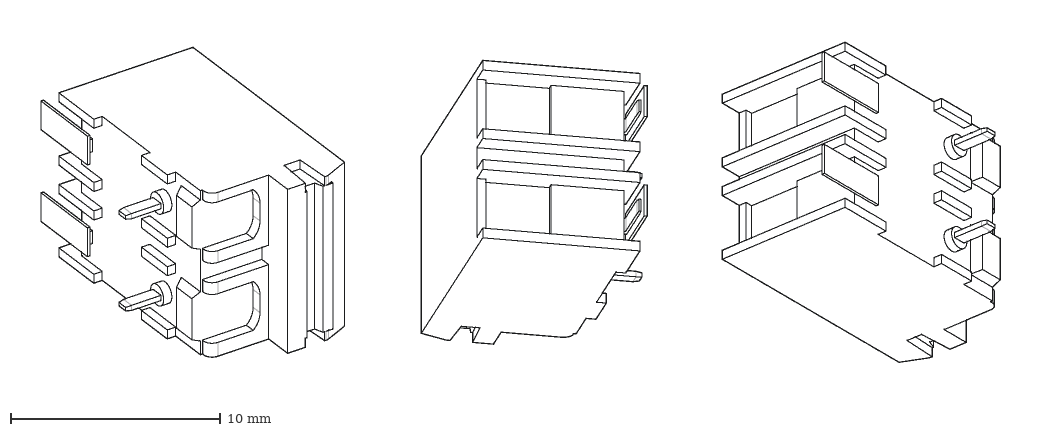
import cadquery as cq
import math

PITCH = 5.08
HEIGHT = 9.09
MODULE_HEIGHT = HEIGHT - PITCH
WALL = 0.5
MODULE_CENTERS = (-PITCH / 2, PITCH / 2)

WALL_LEFT = 1.53
CORE_LEFT = 2.78
FACE_END = 12.95
LIP_END = 13.55
RIGHT = 15.17
BACK = 7.22
SHELF_Y = 3.53
LIP_Y = 0.12
LIP_RADIUS = 0.49
SLOPE_X = 14.55
SLOPE_Y = 5.83
SLOPE_BLEND = 0.45
NOSE_Y = 6.15

FOOT_HEIGHT = 0.49
FOOT_SPANS = ((WALL_LEFT, 4.54), (8.63, 10.85))

RECESS_DEPTH = 0.41
RECESS_Y = 3.58
RECESS_BACK_POST = 0.44

NOTCH_Y = 5.11
NOTCH_X = 14.68
NOTCH_ROOT = 0.6
NOTCH_MOUTH = 0.93
POCKET_X = 13.2
POCKET_ROOT = 0.91
POCKET_MOUTH = 1.1

ENTRY_RISE = 0.12
ENTRY_HEIGHT = 2.7
ENTRY_Y = 3.03
ENTRY_FLAT = 0.99
ENTRY_RADIUS = 1.14
LUG_HEIGHT = 2.73
LUG_LEFT = 11.32
LUG_END_SLOPE = 0.33
LUG_SIDE_SLOPE = 0.23

PIN_X = 9.95
PIN_WIDTH = 0.68
PIN_THICKNESS = 0.29
PIN_END_Y = -2.47
COLLAR_DIAMETER = 1.12
COLLAR_HEIGHT = 0.47
TIP_LENGTH = 0.3
TIP_BEVEL = 0.05

TAB_LENGTH = 3.99
TAB_HEIGHT = 1.6
TAB_THICKNESS = 0.15
STRIP_TIP_X = 0.67
STRIP_THICKNESS = 0.23
STRIP_BACK = -0.2
STRIP_WIDTH = 0.7
STRIP_LEG_X = 3.49
STRIP_BEND = 0.25

OVERLAP = 0.08


def block(x0, x1, y0, y1, z0, z1):
    return cq.Workplane("XY").box(x1 - x0, y1 - y0, z1 - z0, centered=False).translate((x0, y0, z0))


def prism(points, z0, z1):
    return cq.Workplane("XY").workplane(offset=z0).polyline(points).close().extrude(z1 - z0)


def housing_body():
    """Solid core and walls, with a square nose between the blended outer walls."""
    outline = [
        (WALL_LEFT, 0), (FACE_END, 0), (FACE_END, LIP_Y), (LIP_END, LIP_Y), (LIP_END, SHELF_Y),
        (RIGHT, SHELF_Y), (RIGHT, SLOPE_Y), (SLOPE_X, BACK), (WALL_LEFT, BACK),
    ]
    body = prism(outline, -HEIGHT / 2, HEIGHT / 2)
    body = body.edges(cq.NearestToPointSelector((LIP_END, LIP_Y, 0))).fillet(LIP_RADIUS)
    body = body.edges(cq.NearestToPointSelector((RIGHT, SLOPE_Y, 0))).fillet(SLOPE_BLEND)
    nose = block(SLOPE_X, RIGHT, NOTCH_Y, NOSE_Y, WALL - HEIGHT / 2, HEIGHT / 2 - WALL)
    return body.union(nose)


def module_gap():
    """Space between the two modules at the tab side and at the wire entry side."""
    half = (PITCH - MODULE_HEIGHT) / 2
    tab_side = block(WALL_LEFT, CORE_LEFT, 0, BACK, -half, half)
    entry_side = block(FACE_END, LIP_END, 0, SHELF_Y, ENTRY_RISE - half, ENTRY_RISE + half)
    return tab_side.union(entry_side)


def tab_recess(center):
    """Opening between the two walls of a module, deeper towards the back."""
    half = MODULE_HEIGHT / 2 - WALL
    opening = block(WALL_LEFT, CORE_LEFT, 0, BACK, center - half, center + half)
    deep = block(CORE_LEFT, CORE_LEFT + RECESS_DEPTH, RECESS_Y, BACK - RECESS_BACK_POST,
                 center - half, center + half)
    return opening.union(deep)


def tapered_slot(root_x, root, mouth, z0, z1):
    """Slot in the head that widens from its root towards the right side."""
    points = [
        (root_x, NOTCH_Y - root / 2), (RIGHT, NOTCH_Y - mouth / 2),
        (RIGHT, NOTCH_Y + mouth / 2), (root_x, NOTCH_Y + root / 2),
    ]
    return prism(points, z0, z1)


def wire_entry(center):
    """Straight-sided opening whose flat roof turns into an arc towards each side."""
    half = ENTRY_HEIGHT / 2
    flat = ENTRY_FLAT / 2
    sweep = math.asin((half - flat) / ENTRY_RADIUS)

    def arc_point(angle, side):
        drop = ENTRY_RADIUS * (1 - math.cos(angle))
        return (ENTRY_Y - drop, side * (flat + ENTRY_RADIUS * math.sin(angle)))

    return (cq.Workplane("YZ", origin=(FACE_END, 0, center + ENTRY_RISE))
            .moveTo(0, -half)
            .lineTo(*arc_point(sweep, -1))
            .threePointArc(arc_point(sweep / 2, -1), arc_point(0, -1))
            .lineTo(*arc_point(0, 1))
            .threePointArc(arc_point(sweep / 2, 1), arc_point(sweep, 1))
            .lineTo(0, half)
            .close().extrude(LIP_END - FACE_END))


def feet(center):
    """Wall extensions below the mounting face, two on each wall of a module."""
    bottom = center - MODULE_HEIGHT / 2
    top = center + MODULE_HEIGHT / 2 - WALL
    all_feet = cq.Workplane("XY")
    for x0, x1 in FOOT_SPANS:
        for z in (bottom, top):
            all_feet = all_feet.union(block(x0, x1, -FOOT_HEIGHT, OVERLAP, z, z + WALL))
    return all_feet


def latch_lug(center):
    """Lug with one sloped end and two sloped sides."""
    z = center + ENTRY_RISE
    half = LUG_HEIGHT / 2
    face_half = half - LUG_SIDE_SLOPE
    end_profile = [
        (LUG_LEFT, OVERLAP), (LUG_LEFT, 0), (LUG_LEFT + LUG_END_SLOPE, -FOOT_HEIGHT),
        (FACE_END, -FOOT_HEIGHT), (FACE_END, OVERLAP),
    ]
    side_profile = [
        (OVERLAP, -half), (0, -half), (-FOOT_HEIGHT, -face_half),
        (-FOOT_HEIGHT, face_half), (0, half), (OVERLAP, half),
    ]
    sloped_end = prism(end_profile, z - half, z + half)
    sloped_sides = (cq.Workplane("YZ", origin=(LUG_LEFT, 0, z))
                    .polyline(side_profile).close().extrude(FACE_END - LUG_LEFT))
    return sloped_end.intersect(sloped_sides)


def tapered_bar(width, thickness, length):
    """Flat bar along +Z, with its width along X and a bevelled tip at the far end."""
    shank_length = length - TIP_LENGTH
    shank = cq.Workplane("XY").rect(width, thickness).extrude(shank_length)
    tip = (cq.Workplane("XY", origin=(0, 0, shank_length))
           .rect(width, thickness)
           .workplane(offset=TIP_LENGTH)
           .rect(width - 2 * TIP_BEVEL, thickness - 2 * TIP_BEVEL)
           .loft(ruled=True))
    return shank.union(tip)


def contact_pin(center):
    """Flat pin standing out of a round collar on the mounting face."""
    collar = (cq.Workplane("XZ", origin=(PIN_X, OVERLAP, center))
              .circle(COLLAR_DIAMETER / 2).extrude(COLLAR_HEIGHT + OVERLAP))
    pin = tapered_bar(PIN_WIDTH, PIN_THICKNESS, OVERLAP - PIN_END_Y)
    pin = pin.rotate((0, 0, 0), (1, 0, 0), 90).translate((PIN_X, OVERLAP, center))
    return collar.union(pin)


def solder_tab(center):
    """Flat tab, with a bent strip behind it whose leg runs into the mounting face."""
    tab = block(0, TAB_LENGTH, -FOOT_HEIGHT, TAB_THICKNESS - FOOT_HEIGHT,
                center - TAB_HEIGHT / 2, center + TAB_HEIGHT / 2)
    leg_end = STRIP_LEG_X + STRIP_THICKNESS
    strip = tapered_bar(STRIP_WIDTH, STRIP_THICKNESS, leg_end - STRIP_TIP_X)
    strip = strip.rotate((0, 0, 0), (0, 1, 0), -90)
    strip = strip.translate((leg_end, STRIP_BACK - STRIP_THICKNESS / 2, center))
    leg = block(STRIP_LEG_X, leg_end, STRIP_BACK - STRIP_THICKNESS, OVERLAP,
                center - STRIP_WIDTH / 2, center + STRIP_WIDTH / 2)
    bend = (STRIP_LEG_X, STRIP_BACK, center)
    strip = strip.union(leg).edges(cq.NearestToPointSelector(bend)).fillet(STRIP_BEND)
    return tab.union(strip)


result = housing_body().cut(module_gap())
result = result.cut(tapered_slot(NOTCH_X, NOTCH_ROOT, NOTCH_MOUTH, -HEIGHT / 2, HEIGHT / 2))
for wall_bottom in (-HEIGHT / 2, HEIGHT / 2 - WALL):
    result = result.cut(tapered_slot(POCKET_X, POCKET_ROOT, POCKET_MOUTH, wall_bottom, wall_bottom + WALL))
for module_center in MODULE_CENTERS:
    result = result.cut(tab_recess(module_center)).cut(wire_entry(module_center))
    for add_feature in (feet, latch_lug, contact_pin, solder_tab):
        result = result.union(add_feature(module_center))